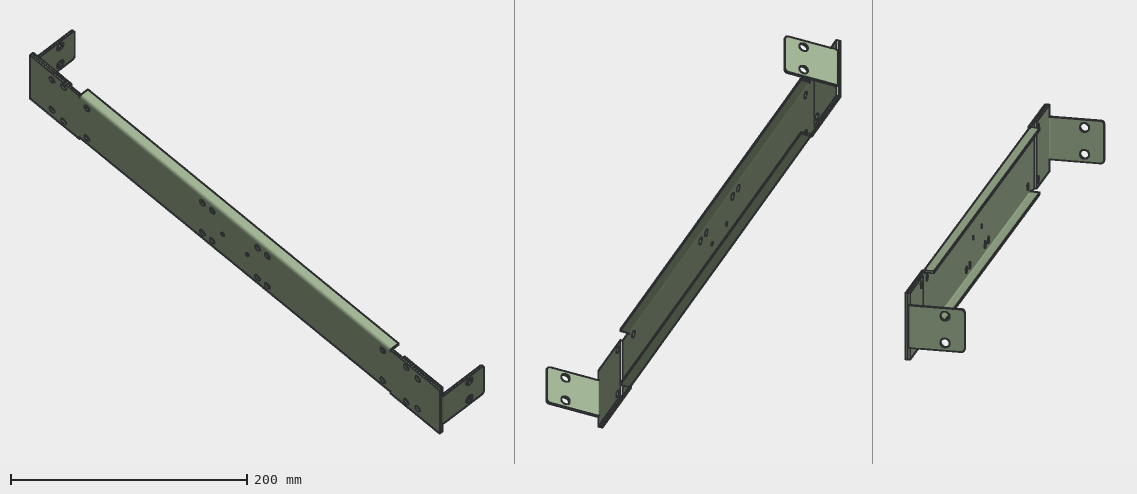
import cadquery as cq

overall_length = 501.0
overall_depth = 51.5
overall_height = 59.5
middle_x = overall_length / 2
mid_height = overall_height / 2

panel_sheet = 2.0
panel_end_gap = 0.75
panel_length = overall_length - 2 * panel_end_gap
flange_length = 379.0
flange_start_x = middle_x - flange_length / 2
flange_depth = 10.0
flange_bend_radius = 3.0

bracket_sheet = 2.0
base_length = 47.5
leg_height = 38.0
leg_bend_radius = 3.0
leg_corner_radius = 3.0

hole_diameter = 6.0
small_hole_diameter = 3.5
row_rise = 20.5
panel_hole_offsets = (27.5, 39.5, 180.5, 223.0)
small_hole_offset = 15.0
bracket_hole_offset = 209.0
bracket_hole_rise = 23.5
leg_hole_diameter = 8.0
leg_hole_rise = 12.0
leg_hole_setback = 17.0


def mirrored_points(offset, rise):
    """Points at both sides of the panel middle, above and below mid-height."""
    return [
        (middle_x + side * offset, mid_height + level * rise)
        for side in (-1, 1)
        for level in (-1, 1)
    ]


def cross_holes(points, diameter):
    """Cylinders along Y at (X, Z) points, long enough to pass through the sheets."""
    return (
        cq.Workplane("XZ", origin=(0, overall_depth, 0))
        .pushPoints(points)
        .circle(diameter / 2)
        .extrude(2 * overall_depth)
    )


def bracket_holes():
    return cross_holes(mirrored_points(bracket_hole_offset, bracket_hole_rise), hole_diameter)


def make_panel():
    ends = (
        cq.Workplane("XY", origin=(panel_end_gap, 0, 0))
        .box(panel_length, panel_sheet, overall_height, centered=False)
    )
    middle_gap = (
        cq.Workplane("XY", origin=(flange_start_x, 0, 0))
        .box(flange_length, panel_sheet, overall_height, centered=False)
    )
    channel = (
        cq.Workplane("XY", origin=(flange_start_x, 0, 0))
        .box(flange_length, flange_depth, overall_height, centered=False)
        .edges("|X and <Y")
        .fillet(flange_bend_radius)
    )
    channel_hollow = (
        cq.Workplane("XY", origin=(flange_start_x, panel_sheet, panel_sheet))
        .box(flange_length, flange_depth, overall_height - 2 * panel_sheet, centered=False)
        .edges("|X and <Y")
        .fillet(flange_bend_radius - panel_sheet)
    )
    panel = ends.cut(middle_gap).union(channel.cut(channel_hollow))

    for offset in panel_hole_offsets:
        panel = panel.cut(cross_holes(mirrored_points(offset, row_rise), hole_diameter))
    small_points = [(middle_x + side * small_hole_offset, mid_height) for side in (-1, 1)]
    panel = panel.cut(cross_holes(small_points, small_hole_diameter))
    return panel.cut(bracket_holes())


def make_bracket(outer_x, inward):
    """L-shaped bracket; inward is +1 when its base runs toward +X from the leg, -1 otherwise."""
    free_x = outer_x + inward * base_length
    rear_y = panel_sheet + bracket_sheet
    inner_x = outer_x + inward * bracket_sheet

    bracket = (
        cq.Workplane("XY", origin=(0, 0, mid_height - leg_height / 2))
        .moveTo(outer_x, overall_depth)
        .lineTo(outer_x, panel_sheet)
        .lineTo(free_x, panel_sheet)
        .lineTo(free_x, rear_y)
        .lineTo(inner_x, rear_y)
        .lineTo(inner_x, overall_depth)
        .close()
        .extrude(leg_height)
    )
    outer_corner = cq.selectors.NearestToPointSelector((outer_x, panel_sheet, mid_height))
    bracket = bracket.edges(outer_corner).fillet(leg_bend_radius)
    inner_corner = cq.selectors.NearestToPointSelector((inner_x, rear_y, mid_height))
    bracket = bracket.edges(inner_corner).fillet(leg_bend_radius - bracket_sheet)
    bracket = bracket.edges("|X and >Y").fillet(leg_corner_radius)

    wing_length = base_length - panel_end_gap
    wing_height = (overall_height - leg_height) / 2
    wing_middle_x = free_x - inward * wing_length / 2
    for wing_z in (0, overall_height - wing_height):
        wing = (
            cq.Workplane("XY", origin=(wing_middle_x, panel_sheet, wing_z))
            .box(wing_length, bracket_sheet, wing_height, centered=(True, False, False))
        )
        bracket = bracket.union(wing)

    leg_hole_points = [
        (overall_depth - leg_hole_setback, mid_height + level * leg_hole_rise)
        for level in (-1, 1)
    ]
    leg_holes = (
        cq.Workplane("YZ", origin=(outer_x, 0, 0))
        .pushPoints(leg_hole_points)
        .circle(leg_hole_diameter / 2)
        .extrude(bracket_sheet, both=True)
    )
    return bracket.cut(leg_holes).cut(bracket_holes())


panel = make_panel()
brackets = [
    make_bracket(outer_x, inward).val()
    for outer_x, inward in ((0, 1), (overall_length, -1))
]

result = cq.Compound.makeCompound([panel.val(), *brackets])